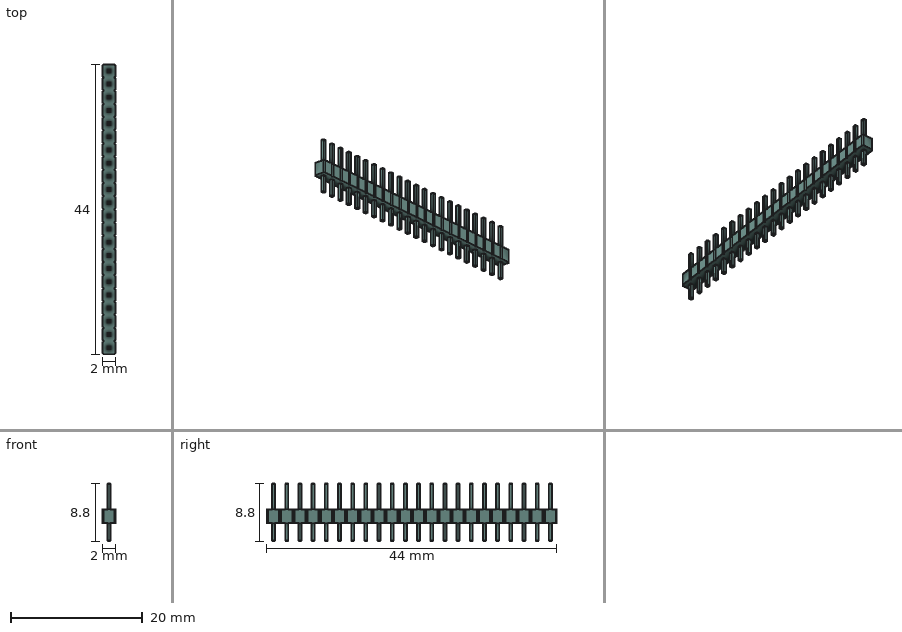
import cadquery as cq

row_length = 44.0
pin_count = 22
pitch = row_length / pin_count

body_width = pitch
body_height = 2.05
corner_chamfer = 0.2

pin_side = pitch / 4
pin_total_length = 8.8
pin_above_body = 3.95
pin_below_body = pin_total_length - body_height - pin_above_body
tip_chamfer = 0.125

first_pin_y = -(row_length - pitch) / 2
pin_positions = [(0, first_pin_y + index * pitch) for index in range(pin_count)]


def make_blocks():
    """Blocks whose chamfered corners form V notches between neighbours."""
    block = cq.Workplane("XY").rect(body_width, pitch).extrude(body_height)
    block = block.edges("|Z").chamfer(corner_chamfer).val()
    centres = cq.Workplane("XY").pushPoints(pin_positions)
    return centres.eachpoint(block.moved, combine=False).combine()


def make_pins():
    """Square pins with chamfered tips at both ends."""
    base = cq.Workplane("XY", origin=(0, 0, -pin_below_body)).pushPoints(pin_positions)
    pins = base.rect(pin_side, pin_side).extrude(pin_total_length)
    return pins.faces("<Z or >Z").chamfer(tip_chamfer)


result = make_blocks().union(make_pins()).clean()